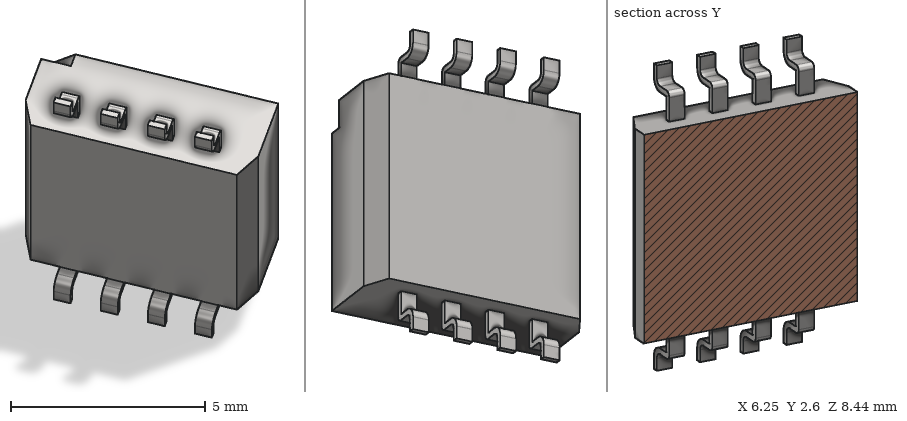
import cadquery as cq

overall_height = 8.44
overall_depth = 2.6
body_width = 6.25
body_depth = 2.51
body_height = 5.78
bevel_width = 0.355
bevel_depth = 0.735

mark_width = 0.8
mark_height = 0.785
mark_depth = 0.4

lead_count = 4
lead_pitch = 1.27
lead_width = 0.455
lead_thickness = 0.17
foot_drop = 0.515
foot_inner_radius = 0.16
foot_outer_radius = foot_inner_radius + lead_thickness
shoulder_radius = 0.14
lead_embed = 0.085

body_front = overall_depth - body_depth
body_back = overall_depth
bevel_back = body_front + bevel_depth
half_width = body_width / 2
half_height = body_height / 2
tip_z = overall_height / 2


def make_body():
    outline = [
        (-half_width, body_back),
        (-half_width, bevel_back),
        (-half_width + bevel_width, body_front),
        (half_width - bevel_width, body_front),
        (half_width, bevel_back),
        (half_width, body_back),
    ]
    return (
        cq.Workplane("XY")
        .workplane(offset=-half_height)
        .polyline(outline)
        .close()
        .extrude(body_height)
    )


def make_mark_cut():
    return (
        cq.Workplane("XZ", origin=(0, body_back, 0))
        .moveTo(-half_width, half_height)
        .lineTo(-half_width + mark_width, half_height)
        .lineTo(-half_width, half_height - mark_height)
        .close()
        .extrude(mark_depth)
    )


def make_upper_lead(center_x):
    leg_back = bevel_back
    leg_front = leg_back - lead_thickness
    root_z = half_height - lead_embed
    cross_outer = tip_z - foot_drop
    cross_inner = cross_outer - lead_thickness
    bend_y = foot_outer_radius
    bend_z = cross_outer + foot_inner_radius
    strip = (
        cq.Workplane("YZ", origin=(center_x - lead_width / 2, 0, 0))
        .moveTo(leg_back, root_z)
        .lineTo(leg_back, cross_outer - shoulder_radius)
        .radiusArc((leg_back - shoulder_radius, cross_outer), -shoulder_radius)
        .lineTo(bend_y, cross_outer)
        .radiusArc((lead_thickness, bend_z), foot_inner_radius)
        .lineTo(lead_thickness, tip_z)
        .lineTo(0, tip_z)
        .lineTo(0, bend_z)
        .radiusArc((bend_y, cross_inner), -foot_outer_radius)
        .lineTo(leg_front, cross_inner)
        .lineTo(leg_front, root_z)
        .close()
    )
    return strip.extrude(lead_width)


result = make_body().cut(make_mark_cut())

for index in range(lead_count):
    lead_x = (index - (lead_count - 1) / 2) * lead_pitch
    upper_lead = make_upper_lead(lead_x)
    lower_lead = upper_lead.mirror("XY")
    result = result.union(upper_lead).union(lower_lead)